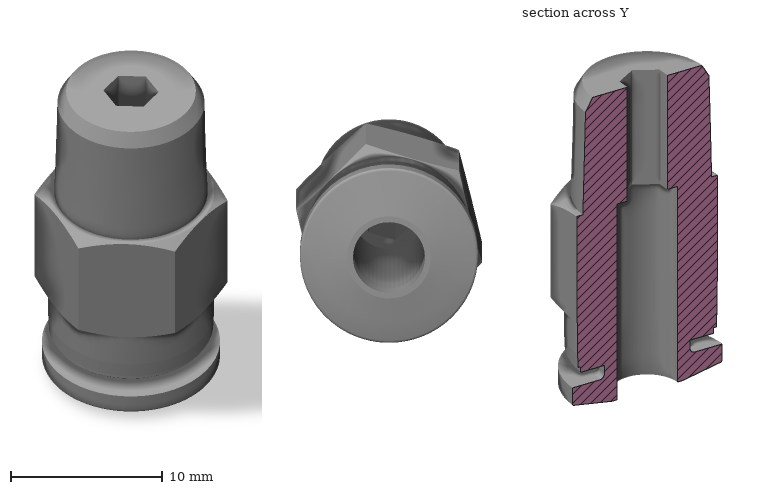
import cadquery as cq
import math

total_height = 23.1
nose_base_z = 22.15
hex_top_z = 14.58
hex_bottom_z = 6.63
body_taper_z = 4.3
body_bottom_z = 3.25
lip_bottom_z = 2.85
flange_top_z = 1.9
flange_edge_z = 0.55

nose_tip_radius = 4.3
spigot_top_radius = 4.87
spigot_bottom_radius = 5.08
body_radius = 11.0 / 2
body_bottom_radius = 5.45
lip_radius = 10.5 / 2
lip_chamfer = 0.07
neck_radius = 6.77 / 2
neck_fillet = 0.35
flange_radius = 11.8 / 2
flange_edge_round = 0.18
flange_face_radius = 2.77

hex_across_corners = 12.82
hex_chamfer_radius = 5.52
hex_chamfer_angle = 30.0

tube_bore_diameter = 4.75
tube_bore_depth = hex_top_z
socket_across_flats = 3.16


def hex_prism(across_corners, bottom_z, top_z):
    """Hexagonal prism along Z with two corners on the Y axis."""
    return (
        cq.Workplane("XY", origin=(0, 0, bottom_z))
        .polygon(6, across_corners)
        .extrude(top_z - bottom_z)
        .rotate((0, 0, 0), (0, 0, 1), 90)
    )


def revolve_profile(points):
    """Solid of revolution about Z from (radius, height) points."""
    return cq.Workplane("XZ").polyline(points).close().revolve(360, (0, 0, 0), (0, 1, 0))


def make_spigot():
    """Slightly tapered upper spigot with a conical nose."""
    return revolve_profile([
        (0, hex_top_z),
        (spigot_bottom_radius, hex_top_z),
        (spigot_top_radius, nose_base_z),
        (nose_tip_radius, total_height),
        (0, total_height),
    ])


def make_wrench_hex():
    """Hexagon with its corners turned off conically at both ends."""
    corner_radius = hex_across_corners / 2
    corner_drop = (corner_radius - hex_chamfer_radius) * math.tan(math.radians(hex_chamfer_angle))
    envelope = revolve_profile([
        (0, hex_bottom_z),
        (hex_chamfer_radius, hex_bottom_z),
        (corner_radius, hex_bottom_z + corner_drop),
        (corner_radius, hex_top_z - corner_drop),
        (hex_chamfer_radius, hex_top_z),
        (0, hex_top_z),
    ])
    return hex_prism(hex_across_corners, hex_bottom_z, hex_top_z).intersect(envelope)


def make_lower_body():
    """Round body below the hexagon, ending in a stepped lip."""
    return revolve_profile([
        (0, lip_bottom_z),
        (lip_radius - lip_chamfer, lip_bottom_z),
        (lip_radius, lip_bottom_z + lip_chamfer),
        (lip_radius, body_bottom_z),
        (body_bottom_radius, body_bottom_z),
        (body_radius, body_taper_z),
        (body_radius, hex_bottom_z),
        (0, hex_bottom_z),
    ])


def make_push_ring():
    """Release ring: neck with a root fillet above a flange with a conical face."""
    flange = revolve_profile([
        (0, 0),
        (flange_face_radius, 0),
        (flange_radius, flange_edge_z),
        (flange_radius, flange_top_z),
        (0, flange_top_z),
    ])
    lower_rim = cq.selectors.BoxSelector(
        (-2 * flange_radius, -2 * flange_radius, flange_edge_z / 2),
        (2 * flange_radius, 2 * flange_radius, (flange_edge_z + flange_top_z) / 2),
    )
    flange = flange.edges("%CIRCLE").edges(lower_rim).fillet(flange_edge_round)
    neck = (
        cq.Workplane("XY", origin=(0, 0, flange_top_z))
        .circle(neck_radius)
        .extrude(lip_bottom_z - flange_top_z)
    )
    neck_root = cq.selectors.RadiusNthSelector(0)
    ring = flange.union(neck)
    return ring.faces("+Z").faces("<Z").edges(neck_root).fillet(neck_fillet)


def make_passage():
    """Round tube bore from below, continued upward by the hexagonal key socket."""
    bore = cq.Workplane("XY").circle(tube_bore_diameter / 2).extrude(tube_bore_depth)
    socket_across_corners = socket_across_flats / math.cos(math.pi / 6)
    return bore.union(hex_prism(socket_across_corners, tube_bore_depth, total_height))


result = (
    make_spigot()
    .union(make_wrench_hex())
    .union(make_lower_body())
    .union(make_push_ring())
    .cut(make_passage())
)